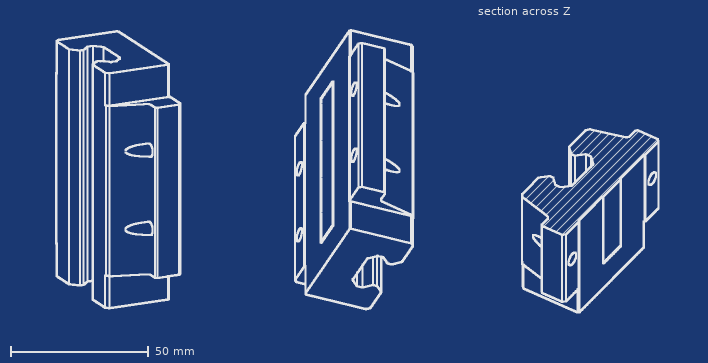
import cadquery as cq
import math

width = 63.0
height = 25.6
length = 90.0
top = height / 2
bottom = -height / 2

block_length = 65.2
flange_thickness = 10.4
flange_top_chamfer = 1.0
flange_bottom_chamfer = 0.6
flange_root_x = 26.15
flange_root_radius = 1.5
skirt_draft = 15.2
skirt_chamfer = 1.0

cap_width = 43.5
cap_drop = 0.3
cap_top_chamfer = 0.5
cap_bottom_chamfer = 1.2

pad_width = 11.5

channel_roof_depth = 13.1
channel_neck_half = 7.05
channel_bevel = 2.9
channel_wide_height = 2.2

hole_diameter = 5.0
hole_spacing_x = 52.6
hole_spacing_z = 30.0


def extrude_centred(points, depth):
    """Solid from an XY outline, centred on Z = 0."""
    return cq.Workplane("XY").polyline(points).close().extrude(depth / 2, both=True)


def mirrored_outline(right_half):
    """Close a right-hand half outline with its mirror image across X = 0."""
    left_half = [(-x, y) for x, y in reversed(right_half)]
    return right_half + left_half


def edges_at(x, y):
    """Selector for the two Z-direction edges through (+x, y) and (-x, y)."""
    reach = 0.05
    boxes = [
        cq.selectors.BoxSelector(
            (side * x - reach, y - reach, -length),
            (side * x + reach, y + reach, length),
        )
        for side in (-1, 1)
    ]
    return boxes[0] + boxes[1]


def make_block():
    flange_underside = top - flange_thickness
    skirt_run = (flange_underside - bottom) * math.tan(math.radians(skirt_draft))
    skirt_foot_x = flange_root_x - skirt_run
    block = extrude_centred(
        mirrored_outline([
            (width / 2, top),
            (width / 2, flange_underside),
            (flange_root_x, flange_underside),
            (skirt_foot_x, bottom),
        ]),
        block_length,
    )
    block = block.edges(edges_at(width / 2, top)).chamfer(flange_top_chamfer)
    block = block.edges(edges_at(width / 2, flange_underside)).chamfer(flange_bottom_chamfer)
    block = block.edges(edges_at(flange_root_x, flange_underside)).fillet(flange_root_radius)
    return block.edges(edges_at(skirt_foot_x, bottom)).chamfer(skirt_chamfer)


def make_end_caps():
    """The two ends of a full-length bar, one beyond each end of the block."""
    cap_top = top - cap_drop
    bar = extrude_centred(
        mirrored_outline([(cap_width / 2, cap_top), (cap_width / 2, bottom)]),
        length,
    )
    bar = bar.edges(edges_at(cap_width / 2, cap_top)).chamfer(cap_top_chamfer)
    bar = bar.edges(edges_at(cap_width / 2, bottom)).chamfer(cap_bottom_chamfer)
    block_space = cq.Workplane("XY").box(width, 2 * height, block_length)
    return bar.cut(block_space)


def make_reliefs():
    """Two reliefs between the middle pad and the flanges."""
    relief_band = cq.Workplane("XY").box(cap_width, 2 * cap_drop, block_length)
    pad = cq.Workplane("XY").box(pad_width, 2 * cap_drop, block_length)
    return relief_band.cut(pad).translate((0, top, 0))


def make_channel():
    roof = top - channel_roof_depth
    wide_half = channel_neck_half + channel_bevel
    wide_top = roof - channel_bevel
    wide_bottom = wide_top - channel_wide_height
    return extrude_centred(
        mirrored_outline([
            (channel_neck_half, roof),
            (wide_half, wide_top),
            (wide_half, wide_bottom),
            (channel_neck_half, wide_bottom - channel_bevel),
            (channel_neck_half, bottom + channel_bevel),
            (wide_half, bottom),
        ]),
        length,
    )


def make_holes():
    return (
        cq.Workplane("XZ", origin=(0, top, 0))
        .rarray(hole_spacing_x, hole_spacing_z, 2, 2)
        .circle(hole_diameter / 2)
        .extrude(height)
    )


block = make_block().cut(make_reliefs())
result = block.union(make_end_caps()).cut(make_channel()).cut(make_holes())